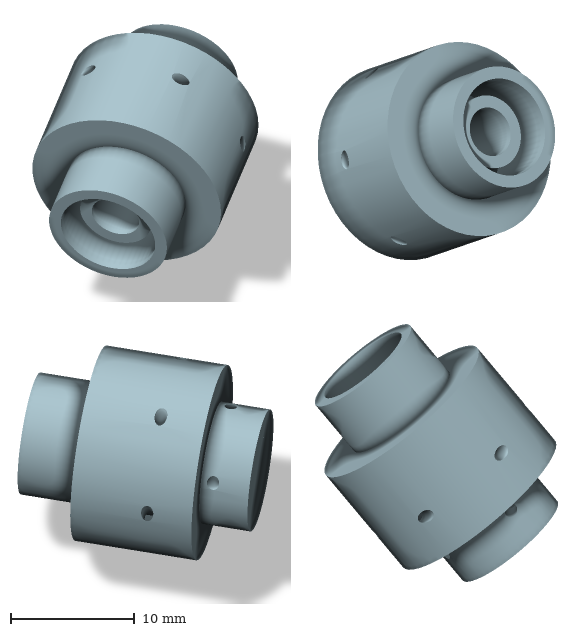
import cadquery as cq

total_length = 19.0
wall = 1.0

collar_diameter = 16.0
collar_front = 5.0
collar_rear = 15.01
outer_chamber_diameter = 13.0
outer_chamber_front = collar_front + wall
outer_chamber_rear = collar_rear - wall
sleeve_diameter = 10.0
sleeve_bore_diameter = 8.0

nozzle_diameter = sleeve_diameter
nozzle_chamber_diameter = 6.0
tip_diameter = 6.0
outlet_diameter = 4.0
tip_front = 2.0
cone_front = outer_chamber_front
cone_rear = cone_front + (nozzle_diameter - tip_diameter) / 2
chamber_cone_rear = cone_rear + (nozzle_chamber_diameter - outlet_diameter) / 2

plug_thickness = wall

inlet_diameter = 1.0
housing_inlet_count = 6
housing_inlet_y = 11.32
housing_inlet_start_angle = 30
housing_inlet_swirl = 1
nozzle_inlet_count = 4
nozzle_inlet_y = 16.02
nozzle_inlet_start_angle = 0
nozzle_inlet_swirl = -1


def cylinder(diameter, front, rear):
    """Solid cylinder on the Y axis between two stations."""
    return (
        cq.Workplane("XZ", origin=(0, front, 0))
        .circle(diameter / 2)
        .extrude(front - rear)
    )


def cone(front_diameter, rear_diameter, front, rear):
    """Solid truncated cone on the Y axis between two stations."""
    profile = [
        (0, front),
        (front_diameter / 2, front),
        (rear_diameter / 2, rear),
        (0, rear),
    ]
    return cq.Workplane("XY").polyline(profile).close().revolve(360, (0, 0, 0), (0, 1, 0))


def cut_tangential_inlets(body, count, start_angle, swirl, station, chamber_diameter, body_diameter):
    """Cut evenly spaced holes tangent to the chamber, from its side to the outside.

    The swirl is 1 or -1 and picks which side of the axis the holes pass.
    """
    offset = swirl * (chamber_diameter - inlet_diameter) / 2
    for index in range(count):
        inlet = (
            cq.Workplane("XY", origin=(offset, station, 0))
            .circle(inlet_diameter / 2)
            .extrude(body_diameter / 2)
            .rotate((0, 0, 0), (0, 1, 0), start_angle + index * 360 / count)
        )
        body = body.cut(inlet)
    return body


def make_housing():
    body = cylinder(collar_diameter, collar_front, collar_rear)
    body = body.union(cylinder(sleeve_diameter, 0, collar_front))
    body = body.cut(cylinder(sleeve_bore_diameter, 0, outer_chamber_front))
    body = body.cut(cylinder(outer_chamber_diameter, outer_chamber_front, outer_chamber_rear))
    body = body.cut(cylinder(nozzle_diameter, outer_chamber_rear, collar_rear))
    return cut_tangential_inlets(
        body,
        housing_inlet_count,
        housing_inlet_start_angle,
        housing_inlet_swirl,
        housing_inlet_y,
        outer_chamber_diameter,
        collar_diameter,
    )


def make_nozzle():
    body = cylinder(nozzle_diameter, cone_rear, total_length)
    body = body.union(cone(tip_diameter, nozzle_diameter, cone_front, cone_rear))
    body = body.union(cylinder(tip_diameter, tip_front, cone_front))
    body = body.cut(cylinder(outlet_diameter, tip_front, cone_rear))
    body = body.cut(cone(outlet_diameter, nozzle_chamber_diameter, cone_rear, chamber_cone_rear))
    body = body.cut(cylinder(nozzle_chamber_diameter, chamber_cone_rear, total_length))
    return cut_tangential_inlets(
        body,
        nozzle_inlet_count,
        nozzle_inlet_start_angle,
        nozzle_inlet_swirl,
        nozzle_inlet_y,
        nozzle_chamber_diameter,
        nozzle_diameter,
    )


def make_plug():
    return cylinder(nozzle_chamber_diameter, total_length - plug_thickness, total_length)


housing = make_housing()
nozzle = make_nozzle()
plug = make_plug()

result = cq.Compound.makeCompound([housing.val(), nozzle.val(), plug.val()])